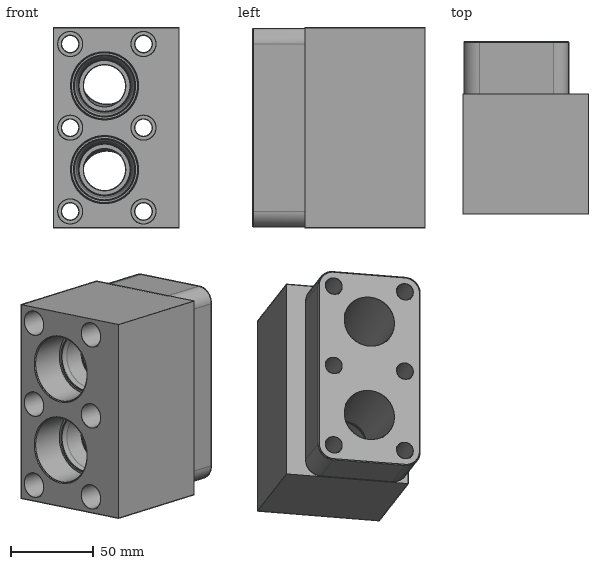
import cadquery as cq

block_width = 76.1
block_depth = 72.9
block_height = 121.5

total_depth = 104.8
boss_inset = 0.5
boss_width = 63.8
boss_corner_radius = 9.5
boss_edge_chamfer = 0.6
boss_depth = total_depth - block_depth
boss_height = block_height - 2 * boss_inset
boss_center_x = boss_inset + boss_width / 2

mid_height = block_height / 2

bolt_pitch_x = 44.5
bolt_pitch_z = 50.8
bolt_diameter = 10.5
bolt_head_diameter = 15.2
bolt_head_depth = 24.3

port_x = 31.0
port_pitch = bolt_pitch_z
port_mouth_radius = 20.6
port_mouth_chamfer = 0.6
port_bore_radius = port_mouth_radius - port_mouth_chamfer
port_bore_depth = 23.4

seat_radius = 18.8
seat_lip = 0.5
seat_depth = 3.6
thread_start_radius = 17.1
thread_end_radius = 15.9
thread_depth = 12.1
thread_end_chamfer = 0.5
seat_end = port_bore_depth + seat_depth
thread_end = seat_end + thread_depth
port_end = thread_end + thread_end_chamfer

passage_front_radius = 12.8
passage_rear_radius = 15.7
passage_rear_pitch = 59.7

along_y = cq.Vector(0, 1, 0)


def make_body():
    """Return the block with the rounded boss on its rear face."""
    block = cq.Workplane("XY").box(block_width, block_depth, block_height, centered=False)
    boss = (
        cq.Workplane("XY")
        .box(boss_width, boss_depth, boss_height, centered=False)
        .translate((boss_inset, block_depth, boss_inset))
        .edges("|Y")
        .fillet(boss_corner_radius)
        .faces(">Y")
        .chamfer(boss_edge_chamfer)
    )
    return block.union(boss)


def make_port(side):
    """Return the cavity of the lower (-1) or upper (+1) port."""
    profile = [
        (0, 0),
        (port_mouth_radius, 0),
        (port_bore_radius, port_mouth_chamfer),
        (port_bore_radius, port_bore_depth),
        (seat_radius, port_bore_depth),
        (seat_radius - seat_lip, port_bore_depth + seat_lip),
        (thread_start_radius, seat_end),
        (thread_end_radius, thread_end),
        (thread_end_radius - thread_end_chamfer, port_end),
        (0, port_end),
    ]
    port = cq.Workplane("XY").polyline(profile).close().revolve(360, (0, 0, 0), (0, 1, 0))
    return port.translate((port_x, 0, mid_height + side * port_pitch / 2))


def make_passage(side):
    """Return the lofted passage from a port to the rear face."""
    front_center = cq.Vector(port_x, port_end, mid_height + side * port_pitch / 2)
    rear_center = cq.Vector(boss_center_x, total_depth, mid_height + side * passage_rear_pitch / 2)
    front_circle = cq.Wire.makeCircle(passage_front_radius, front_center, along_y)
    rear_circle = cq.Wire.makeCircle(passage_rear_radius, rear_center, along_y)
    return cq.Workplane(cq.Solid.makeLoft([front_circle, rear_circle]))


def make_bolt_hole(column, row):
    """Return a through hole with a counterbore in the front face."""
    center = cq.Vector(
        boss_center_x + column * bolt_pitch_x / 2,
        0,
        mid_height + row * bolt_pitch_z,
    )
    shank = cq.Solid.makeCylinder(bolt_diameter / 2, total_depth, center, along_y)
    head = cq.Solid.makeCylinder(bolt_head_diameter / 2, bolt_head_depth, center, along_y)
    return cq.Workplane(shank).union(cq.Workplane(head))


result = make_body()

for side in (-1, 1):
    result = result.cut(make_port(side))
    result = result.cut(make_passage(side))

for column in (-1, 1):
    for row in (-1, 0, 1):
        result = result.cut(make_bolt_hole(column, row))

result = result.solids()